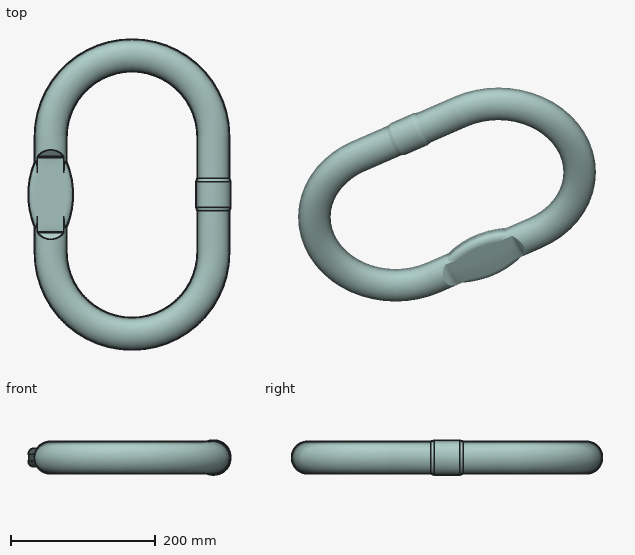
import cadquery as cq
import math

bar_diameter = 45.0
overall_length = 430.0
ring_width = 270.0
bar_radius = bar_diameter / 2
bend_radius = (ring_width - bar_diameter) / 2
straight_length = overall_length - ring_width

sleeve_diameter = 48.38
sleeve_length = 45.0
sleeve_cone_length = 5.0

flat_height = 13.0
flat_half_length = 52.3
end_slope_angle = 45.0
foot_bevel = 1.2

bulge_radius = 116.5
bulge_half_width = 31.34
bulge_rounding = 8.5
groove_depth = 0.5


def make_ring():
    """Join two straight legs with a half-circle bend at each end."""
    leg_end = straight_length / 2
    section = cq.Workplane("XZ", origin=(bend_radius, leg_end, 0)).circle(bar_radius)
    bend = section.revolve(180, (-bend_radius, 0, 0), (-bend_radius, 1, 0))
    section = cq.Workplane("XZ", origin=(bend_radius, 0, 0)).circle(bar_radius)
    leg = section.extrude(leg_end, both=True)
    ring = leg.union(leg.mirror("YZ"))
    return ring.union(bend).union(bend.mirror("XZ"))


def make_sleeve():
    """Turn the sleeve about the axis of the +X leg."""
    half_length = sleeve_length / 2
    profile = [
        (0, -half_length),
        (bar_radius, -half_length),
        (sleeve_diameter / 2, -half_length + sleeve_cone_length),
        (sleeve_diameter / 2, half_length - sleeve_cone_length),
        (bar_radius, half_length),
        (0, half_length),
    ]
    sleeve = cq.Workplane("XY").polyline(profile).close().revolve(360, (0, 0, 0), (0, 1, 0))
    return sleeve.translate((bend_radius, 0, 0))


def make_flat_cutter():
    """Prism that removes the bar above the upper flat, with a bevel at the foot of each end slope."""
    slope = math.radians(end_slope_angle)
    depth = bar_radius - flat_height
    top_half_length = flat_half_length + depth / math.tan(slope)
    bevel_start = flat_half_length - foot_bevel
    bevel_end = flat_half_length + foot_bevel * math.cos(slope)
    bevel_height = flat_height + foot_bevel * math.sin(slope)
    profile = [
        (-bevel_start, flat_height),
        (bevel_start, flat_height),
        (bevel_end, bevel_height),
        (top_half_length, bar_radius),
        (-top_half_length, bar_radius),
        (-bevel_end, bevel_height),
    ]
    cutter = cq.Workplane("YZ").polyline(profile).close().extrude(bar_radius, both=True)
    return cutter.translate((-bend_radius, 0, 0))


def make_lens(half_width, radius, height):
    """Upright prism bounded by two equal arcs that meet at points on the leg axis."""
    arc_center = radius - half_width
    half_chord = math.sqrt(radius**2 - arc_center**2)
    return (
        cq.Workplane("XY", origin=(0, 0, -height / 2))
        .moveTo(0, -half_chord)
        .threePointArc((half_width, 0), (0, half_chord))
        .threePointArc((-half_width, 0), (0, -half_chord))
        .close()
        .extrude(height)
    )


def make_tag():
    """Lens with rounded rims and a shallow groove around its edge."""
    height = 2 * flat_height
    bulge = make_lens(bulge_half_width, bulge_radius, height)
    bulge = bulge.faces("|Z").edges().fillet(bulge_rounding)
    groove_height = height - 2 * bulge_rounding
    band = cq.Workplane("XY").box(2 * bulge_radius, 2 * bulge_radius, groove_height)
    core = make_lens(bulge_half_width - groove_depth, bulge_radius - groove_depth, groove_height)
    tag = bulge.cut(band.cut(core))
    return tag.translate((-bend_radius, 0, 0))


upper_cutter = make_flat_cutter()
ring = make_ring().union(make_sleeve())
ring = ring.cut(upper_cutter).cut(upper_cutter.mirror("XY"))
result = ring.union(make_tag())